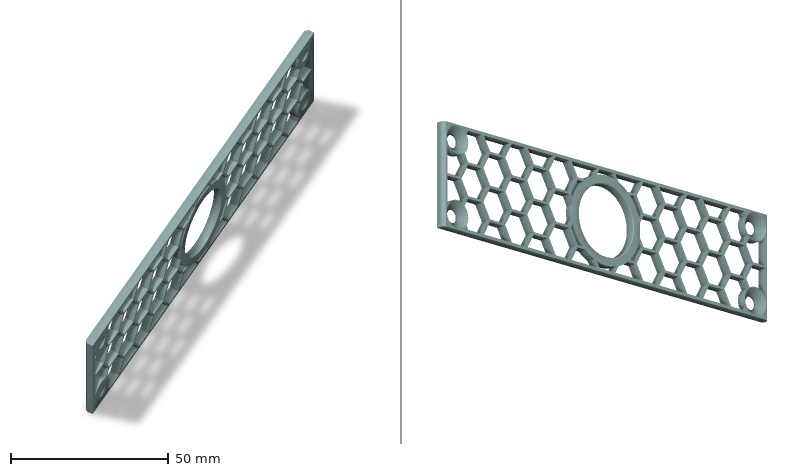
import cadquery as cq
import math

thickness = 3.0
length = 144.8
height = 35.0
end_chamfer = 1.0
end_rail = 1.7
side_rail = 1.09
front_x = -thickness / 2

cell_width = 10.4
wall = 0.83
cell_pitch = cell_width + wall
column_pitch = cell_pitch * math.sqrt(3) / 2
last_column = 7
even_column_rows = (-1, 0, 1)
odd_column_rows = (-1.5, -0.5, 0.5, 1.5)
end_column_rows = (-0.5, 0.5)

ring_bore = 24.0
ring_outer = 30.0
bore_chamfer = 0.3

screw_hole = 4.5
screw_head = 9.3
screw_boss = 9.7
screw_inset = 6.1
screw_y = length / 2 - screw_inset
screw_z = 12.5
countersink_angle = 90
screw_points = [(y, z) for y in (-screw_y, screw_y) for z in (-screw_z, screw_z)]


def face_plane():
    """Sketch plane on the -X face: local x is +Y, local y is +Z, extrusion goes toward +X."""
    return cq.Workplane("YZ", origin=(front_x, 0, 0))


def column_rows(column):
    """Cell rows of a column; the end columns keep only the two cells between the screws."""
    if abs(column) == last_column:
        return end_column_rows
    if column % 2:
        return odd_column_rows
    return even_column_rows


def honeycomb_cells():
    """Hexagonal prisms, trimmed to the window inside the plate's rails."""
    centers = [
        (column * column_pitch, row * cell_pitch)
        for column in range(-last_column, last_column + 1)
        for row in column_rows(column)
    ]
    corner_diameter = cell_width * 2 / math.sqrt(3)
    cells = face_plane().pushPoints(centers).polygon(6, corner_diameter).extrude(thickness)
    window = cq.Workplane("XY").box(thickness, length - 2 * end_rail, height - 2 * side_rail)
    return cells.intersect(window)


def tapered_hole(hole, mouth, taper_depth):
    """Through-hole cutter along X that widens to the mouth diameter at the -X face."""
    back_x = front_x + thickness
    profile = [
        (front_x, 0),
        (front_x, mouth / 2),
        (front_x + taper_depth, hole / 2),
        (back_x, hole / 2),
        (back_x, 0),
    ]
    return cq.Workplane("XY").polyline(profile).close().revolve(360, (0, 0), (1, 0))


plate = cq.Workplane("XY").box(thickness, length, height)
plate = plate.edges("<X and |Z").chamfer(end_chamfer)

plate = plate.cut(honeycomb_cells())
plate = plate.union(face_plane().circle(ring_outer / 2).extrude(thickness))
plate = plate.union(face_plane().pushPoints(screw_points).circle(screw_boss / 2).extrude(thickness))

plate = plate.cut(tapered_hole(ring_bore, ring_bore + 2 * bore_chamfer, bore_chamfer))

countersink_depth = (screw_head - screw_hole) / 2 / math.tan(math.radians(countersink_angle / 2))
screw_cutter = tapered_hole(screw_hole, screw_head, countersink_depth)
for y, z in screw_points:
    plate = plate.cut(screw_cutter.translate((0, y, z)))

result = plate